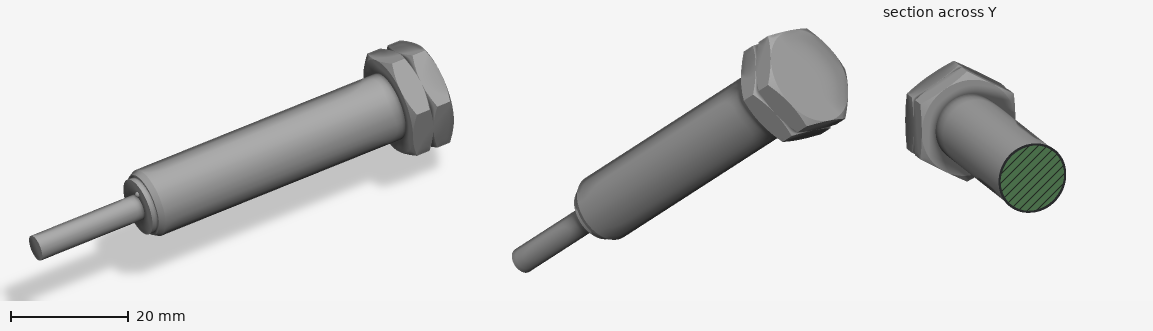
import cadquery as cq
import math

total_length = 77.0
nut_flats = 17.0
nut_thickness = 4.0
nut_count = 2
nut_chamfer_angle = 30.0
envelope_margin = 0.8
body_diameter = 12.0
body_chamfer_length = 1.0
body_chamfer_depth = 0.55
collar_diameter = 10.0
collar_length = 1.0
cable_diameter = 4.55
cable_length = 20.0
lamp_radius = 0.5
lamp_height = 3.0

nut_corner_diameter = nut_flats / math.cos(math.radians(30))
collar_face = cable_length
body_face = collar_face + collar_length


def cylinder(diameter, start, end):
    """Round bar on the Y axis between two places."""
    return cq.Workplane("XZ", origin=(0, start, 0)).circle(diameter / 2).extrude(start - end)


def hex_nut(start):
    """Hexagon with corners up and down, cut by a cone on both faces."""
    end = start + nut_thickness
    hexagon = (
        cq.Workplane("XZ", origin=(0, start, 0))
        .transformed(rotate=(0, 0, 90))
        .polygon(6, nut_corner_diameter)
        .extrude(-nut_thickness)
    )
    face_radius = nut_flats / 2
    envelope_radius = nut_corner_diameter / 2 + envelope_margin
    cone_length = (envelope_radius - face_radius) * math.tan(math.radians(nut_chamfer_angle))
    envelope = (
        cq.Workplane("XY")
        .moveTo(0, start)
        .lineTo(face_radius, start)
        .lineTo(envelope_radius, start + cone_length)
        .lineTo(envelope_radius, end - cone_length)
        .lineTo(face_radius, end)
        .lineTo(0, end)
        .close()
        .revolve(360, (0, 0, 0), (0, 1, 0))
    )
    return hexagon.intersect(envelope)


body = cylinder(body_diameter, body_face, total_length)
body = body.faces("<Y").edges().chamfer(body_chamfer_length, body_chamfer_depth)

collar = cylinder(collar_diameter, collar_face, body_face)
cable = cylinder(cable_diameter, 0, collar_face)

lamp = cq.Workplane("XY").sphere(lamp_radius).translate((0, collar_face, lamp_height))

result = body.union(collar).union(cable).union(lamp)
for index in range(nut_count):
    result = result.union(hex_nut(total_length - (index + 1) * nut_thickness))